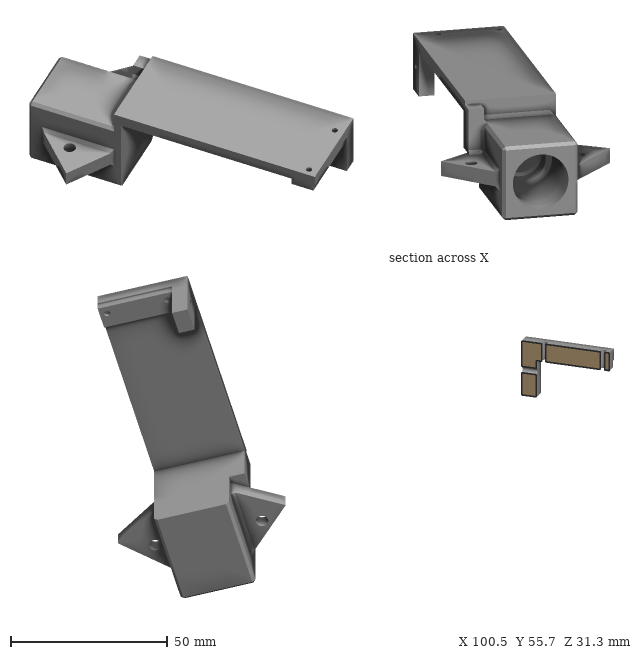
import cadquery as cq


length = 100.5
height = 31.3
ear_span = 55.7

block_size = 24.8
block_length = 32.5
block_half = block_size / 2
axis_z = block_size / 2
edge_chamfer = 1.0
corner_fill = 1.2

bore_diameter = 18.3
bore_depth = 22.1
pocket_diameter = 14.1
pocket_depth = 28.1
floor_chamfer = 0.9

plate_width = 29.9
plate_thickness = 3.9
plate_min_y = -block_half
plate_max_y = plate_min_y + plate_width
wall_front_x = 30.0

arm_front_x = 25.5
arm_top_z = height - 1.5
arm_width = plate_max_y - block_half

ear_reach = (ear_span - block_size) / 2
ear_tip_x = 20.3
ear_start_x = ear_tip_x - ear_reach
ear_thickness = 4.9
ear_top_z = axis_z + ear_thickness / 2
ear_fill = 1.1
ear_hole_diameter = 4.0
ear_hole_x = 16.4
ear_hole_ys = (18.9, -16.5)

leg_length = 8.1
leg_start_x = length - leg_length
leg_depth = 18.8
rib_depth = 6.2
rib_setback = 0.5
end_hole_diameter = 2.0
plate_hole_x = length - 3.1
plate_hole_spacing = 20.0
leg_hole_x = length - 3.9
leg_hole_z = height - 9.9


def box(x_range, y_range, z_range):
    """Axis-aligned box between the given limits."""
    (x0, x1), (y0, y1), (z0, z1) = x_range, y_range, z_range
    return cq.Workplane("XY").box(x1 - x0, y1 - y0, z1 - z0, centered=False).translate((x0, y0, z0))


def make_block():
    """Square block, chamfered on every edge except those of its +X face."""
    block = box((0, block_length), (-block_half, block_half), (0, block_size))
    return block.edges("|X or <X").chamfer(edge_chamfer)


def make_bore():
    """Bore with a smaller pocket behind it, chamfered at the floor."""
    bore = cq.Workplane("YZ").center(0, axis_z).circle(bore_diameter / 2).extrude(bore_depth)
    pocket = cq.Workplane("YZ").center(0, axis_z).circle(pocket_diameter / 2).extrude(pocket_depth)
    return bore.union(pocket.faces(">X").chamfer(floor_chamfer))


def make_ear(side):
    """Triangular ear on the given Y side, with sloped fills above and below its root."""
    root_y = block_half - edge_chamfer
    tip_y = block_half + ear_reach
    half = ear_thickness / 2
    outline = (
        cq.Workplane("XY")
        .polyline([
            (ear_start_x, side * root_y),
            (ear_start_x, side * block_half),
            (ear_tip_x, side * tip_y),
            (wall_front_x, side * block_half),
            (wall_front_x, side * root_y),
        ])
        .close()
        .extrude(block_size)
    )
    section = (
        cq.Workplane("YZ")
        .polyline([
            (side * root_y, axis_z - half - ear_fill),
            (side * block_half, axis_z - half - ear_fill),
            (side * (block_half + ear_fill), axis_z - half),
            (side * tip_y, axis_z - half),
            (side * tip_y, axis_z + half),
            (side * (block_half + ear_fill), axis_z + half),
            (side * block_half, axis_z + half + ear_fill),
            (side * root_y, axis_z + half + ear_fill),
        ])
        .close()
        .extrude(block_length)
    )
    return outline.intersect(section)


def under_chamfer_plane(side):
    """Everything below the plane of the block's top chamfer on the given Y side."""
    reach = block_size
    start_y = block_half - edge_chamfer
    return (
        cq.Workplane("YZ")
        .polyline([
            (side * (start_y - reach), block_size + reach),
            (side * (start_y + reach), block_size - reach),
            (side * (start_y - reach), block_size - reach),
        ])
        .close()
        .extrude(block_length)
    )


def corner_prism(plane, corner, run):
    """Triangular fill for an inside corner, back along the plane's first axis and along its second."""
    return (
        cq.Workplane(plane, origin=corner)
        .polyline([(0, 0), (-corner_fill, 0), (0, corner_fill)])
        .close()
        .extrude(run)
    )


def make_wall_and_plate():
    """Wall rising from the block's far end, the plate on it, and the fill at its foot."""
    plate_y = (plate_min_y, plate_max_y)
    wall_x = (wall_front_x, block_length)
    plate = box((wall_front_x, length), plate_y, (height - plate_thickness, height))
    upper_wall = box(wall_x, plate_y, (block_size, height))
    wall_root = box(wall_x, (-block_half, block_half), (axis_z, block_size))
    foot_fill = corner_prism("XZ", (wall_front_x, block_half, block_size), block_size)
    foot_fill = foot_fill.intersect(under_chamfer_plane(-1))
    return plate.union(upper_wall).union(wall_root).union(foot_fill)


def make_arm():
    """Arm beside the block, standing on the +Y ear, with fills in its three inside corners."""
    arm_x = (arm_front_x, block_length)
    arm = box(arm_x, (block_half, plate_max_y), (ear_top_z, arm_top_z))
    shoulder = box(
        arm_x,
        (block_half - edge_chamfer, block_half),
        (block_size - edge_chamfer, block_size),
    )
    block_top_fill = corner_prism(
        "YZ", (arm_front_x, block_half, block_size), block_length - arm_front_x
    )
    block_side_fill = corner_prism(
        "XY", (arm_front_x, block_half, ear_top_z), block_size - ear_top_z
    )
    block_side_fill = block_side_fill.intersect(under_chamfer_plane(1))
    ear_top_fill = corner_prism("XZ", (arm_front_x, plate_max_y, ear_top_z), arm_width)
    return arm.union(shoulder).union(block_top_fill).union(block_side_fill).union(ear_top_fill)


def make_far_end():
    """Shallow rib under the plate's far end and the deep leg on its +Y side."""
    rib = box(
        (leg_start_x, length - rib_setback),
        (plate_min_y, plate_max_y),
        (height - rib_depth, height),
    )
    leg = box((leg_start_x, length), (block_half, plate_max_y), (height - leg_depth, height))
    return rib.union(leg)


def make_holes():
    """Ear holes, plate holes and the cross hole through the leg."""
    ear_holes = (
        cq.Workplane("XY")
        .pushPoints([(ear_hole_x, y) for y in ear_hole_ys])
        .circle(ear_hole_diameter / 2)
        .extrude(height)
    )
    plate_holes = (
        cq.Workplane("XY")
        .pushPoints([(plate_hole_x, side * plate_hole_spacing / 2) for side in (-1, 1)])
        .circle(end_hole_diameter / 2)
        .extrude(height)
    )
    leg_hole = (
        cq.Workplane("XZ", origin=(0, plate_max_y, 0))
        .center(leg_hole_x, leg_hole_z)
        .circle(end_hole_diameter / 2)
        .extrude(plate_width)
    )
    return ear_holes.union(plate_holes).union(leg_hole)


result = make_block()
for side in (-1, 1):
    result = result.union(make_ear(side))
result = result.union(make_wall_and_plate()).union(make_arm()).union(make_far_end())
result = result.cut(make_bore()).cut(make_holes())